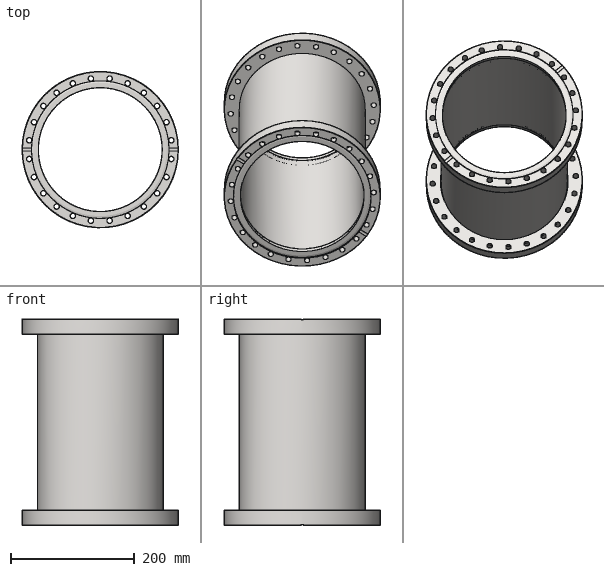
import cadquery as cq

total_length = 334.0
flange_diameter = 253.0
flange_thickness = 25.0
edge_chamfer = 0.7

tube_outer_diameter = 204.0
tube_bore = 200.5
tube_setback = 10.7
flange_bore = 200.0
socket_diameter = tube_outer_diameter

recess_diameter = 222.5
trough_depth = 2.0
knife_diameter = 215.8
land_depth = 1.5

bolt_count = 24
bolt_circle_diameter = 231.8
bolt_hole_diameter = 8.5
groove_width = 5.0
groove_depth = 1.17

ring_seat_diameter = 223.0
insert_diameter = 222.0
insert_back = 15.0
ring_neck_diameter = 206.5


def disc(diameter, bottom, top):
    """Solid cylinder on the Z axis between two heights."""
    return cq.Workplane("XY").workplane(offset=bottom).circle(diameter / 2).extrude(top - bottom)


def flange_blank():
    """Plain flange disc with its mating face at Z = 0 and its back on +Z."""
    return disc(flange_diameter, 0, flange_thickness).edges().chamfer(edge_chamfer)


def cut_bolt_holes(flange):
    """Bolt holes straddling the X axis."""
    half_pitch = 360 / bolt_count / 2
    holes = (
        cq.Workplane("XY")
        .polarArray(bolt_circle_diameter / 2, half_pitch, 360, bolt_count)
        .circle(bolt_hole_diameter / 2)
        .extrude(flange_thickness)
    )
    return flange.cut(holes)


def cut_leak_grooves(flange):
    """Round-bottomed groove across the mating face on both X sides."""
    radius = (groove_width**2 / 4 + groove_depth**2) / (2 * groove_depth)
    groove = (
        cq.Workplane("YZ")
        .workplane(offset=-flange_diameter / 2)
        .center(0, groove_depth - radius)
        .circle(radius)
        .extrude(flange_diameter)
    )
    return flange.cut(groove.cut(disc(recess_diameter, -2 * radius, groove_depth)))


def seal_recess():
    """Cutter for the gasket recess: a deeper slanted trough around the seal land."""
    return (
        cq.Workplane("XZ")
        .moveTo(0, 0)
        .lineTo(recess_diameter / 2, 0)
        .lineTo(recess_diameter / 2, trough_depth)
        .lineTo(knife_diameter / 2, land_depth)
        .lineTo(0, land_depth)
        .close()
        .revolve(360, (0, 0, 0), (0, 1, 0))
    )


def add_tube_socket(body):
    """Through bore, widened from the back to receive the tube end."""
    bored = body.cut(disc(flange_bore, 0, flange_thickness))
    return bored.cut(disc(socket_diameter, tube_setback, flange_thickness))


def make_fixed_flange():
    flange = cut_leak_grooves(cut_bolt_holes(flange_blank()))
    flange = add_tube_socket(flange.cut(seal_recess()))
    return flange.rotate((0, 0, 0), (1, 0, 0), 180).translate((0, 0, total_length))


def make_rotatable_ring():
    ring = cut_leak_grooves(cut_bolt_holes(flange_blank()))
    ring = ring.cut(disc(ring_seat_diameter, 0, insert_back))
    return ring.cut(disc(ring_neck_diameter, insert_back, flange_thickness))


def make_insert():
    return add_tube_socket(disc(insert_diameter, 0, insert_back).cut(seal_recess()))


def make_tube():
    outer = disc(tube_outer_diameter, tube_setback, total_length - tube_setback)
    return outer.cut(disc(tube_bore, tube_setback, total_length - tube_setback))


fixed_flange = make_fixed_flange()
rotatable_ring = make_rotatable_ring()
insert = make_insert()
tube = make_tube()

result = cq.Compound.makeCompound(
    [fixed_flange.val(), rotatable_ring.val(), insert.val(), tube.val()]
)